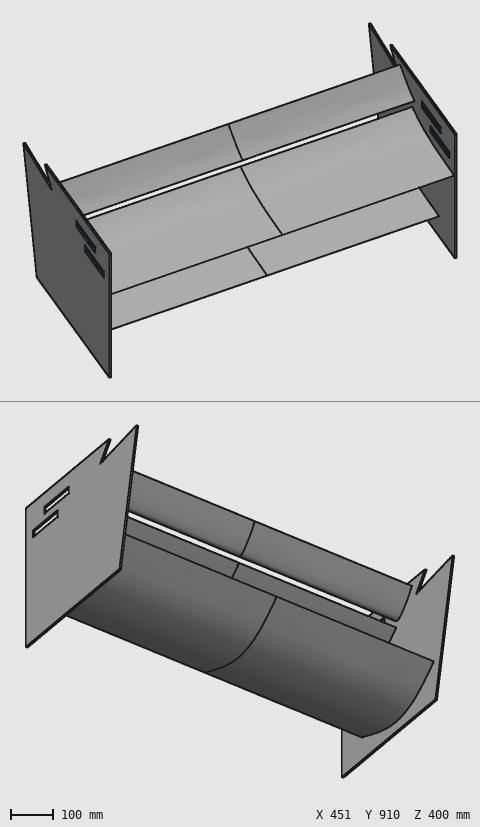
import cadquery as cq

width = 910.0
length = 451.0
height = 400.0

plate_thickness = 5.0
bottom_front_x = 70.0
front_tip_z = 374.0
notch_x = 148.0
notch_z = 350.0
top_front_x = 112.0

slot_length = 100.0
slot_height = 19.0
slot_centers = [(327.0, 350.0), (372.0, 309.0)]

half_span = width / 2 - plate_thickness

main_trailing_edge = (293.0, -46.0)
main_top = [(72.0, -27.0), (159.0, -41.0)]
main_belly = [(214.0, -75.0), (146.0, -83.0), (86.0, -65.5), (33.0, -28.0)]

flap_trailing_edge = (75.5, -54.0)
flap_top = [(23.0, -19.0), (51.0, -41.0)]
flap_belly = [(57.0, -65.0), (35.0, -46.0), (19.0, -28.0)]

lower_leading_edge = (75.5, 112.0)
rear_leading_edge = (228.0, 300.0)
flap_leading_edge = (165.0, 383.0)

rear_scale = 0.75


def make_end_plate(start_y):
    """Flat plate from start_y towards +Y, with a notched front edge and two slots."""
    outline = [
        (bottom_front_x, 0),
        (length, 0),
        (length, height),
        (top_front_x, height),
        (notch_x, notch_z),
        (0, front_tip_z),
    ]
    plane = cq.Workplane("XZ", origin=(0, start_y, 0))
    plate = plane.polyline(outline).close().extrude(-plate_thickness)
    slots = plane.pushPoints(slot_centers).rect(slot_length, slot_height).extrude(-plate_thickness)
    return plate.cut(slots)


def make_wing_half(start_y, leading_edge, top, trailing_edge, belly, scale=1.0):
    """Half-span wing from start_y towards +Y; both curves meet at sharp edges."""

    def place(point):
        return (leading_edge[0] + scale * point[0], leading_edge[1] + scale * point[1])

    top_curve = [place(point) for point in [*top, trailing_edge]]
    belly_curve = [place(point) for point in [*belly, (0, 0)]]
    return (
        cq.Workplane("XZ", origin=(0, start_y, 0))
        .moveTo(*leading_edge)
        .spline(top_curve, includeCurrent=True)
        .spline(belly_curve, includeCurrent=True)
        .close()
        .extrude(-half_span)
    )


end_plates = [make_end_plate(start_y) for start_y in (-width / 2, half_span)]

lower_wings = []
rear_wings = []
front_flaps = []
for start_y in (-half_span, 0):
    lower_wings.append(
        make_wing_half(start_y, lower_leading_edge, main_top, main_trailing_edge, main_belly)
    )
    rear_wings.append(
        make_wing_half(
            start_y, rear_leading_edge, main_top, main_trailing_edge, main_belly, rear_scale
        )
    )
    front_flaps.append(
        make_wing_half(start_y, flap_leading_edge, flap_top, flap_trailing_edge, flap_belly)
    )

bodies = [*end_plates, *lower_wings, *rear_wings, *front_flaps]
result = cq.Compound.makeCompound([body.val() for body in bodies])